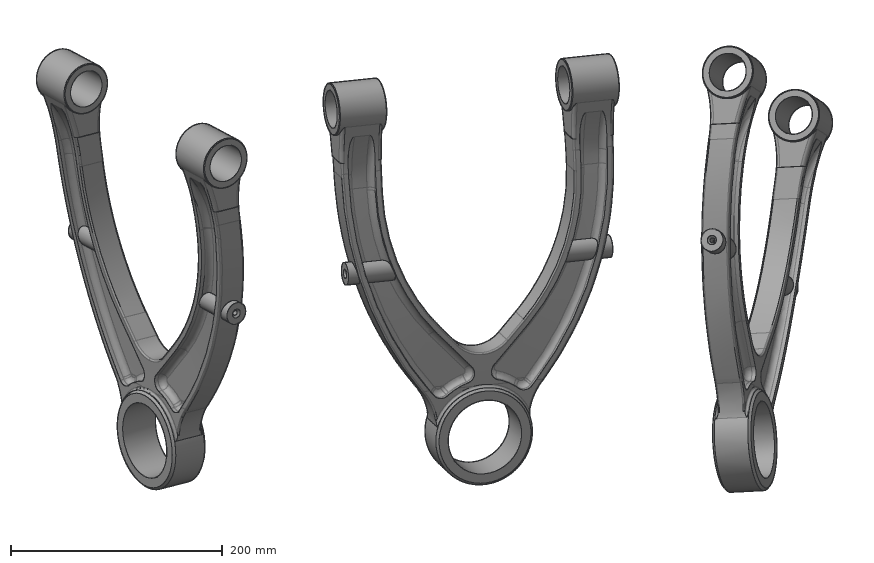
import cadquery as cq
import math

ring_radius = 48.0
ring_bore_radius = 36.5
ring_half_width = 19.0
ring_edge_chamfer = 2.5
ring_blend_fillet = 2.5

eye_radius = 25.05
eye_bore_radius = 18.0
eye_width = 47.5
eye_outer_x = 139.35
eye_inner_x = eye_outer_x - eye_width
eye_y = -22.25
eye_top_z = 353.0
eye_z = eye_top_z - eye_radius
eye_edge_chamfer = 1.0

arm_outer_x = 135.0
outer_bend_z = 264.5
outer_bend_radius = 349.0
outer_bend_angle = math.radians(39)
arm_inner_x = 95.5
inner_bend_z = 248.5
inner_bend_radius = 202.5
inner_bend_angle = math.radians(43)
saddle_z = 81.8
ring_blend_x = 46.0
ring_blend_z = 10.0

arm_half_thickness = 13.2
side_bend_z = 49.7
side_bend_radius = 1523.5
ramp_z = 250.5
back_flare_z = 268.5
front_flare_angle = 212
back_flare_angle = -28
face_edge_fillet = 1.5

neck_z = 279.0
neck_outer_x = 136.5
neck_inner_x = 94.5
neck_edge_fillet = 3.5

rim_width = 6.5
web_half_thickness = 3.2
pocket_ring_gap = 7.5
pocket_corner_radius = 9.2
pocket_floor_fillet = 6.0
pocket_top_z = 308.5
front_ramp_end_y = -41.7
back_ramp_end_y = -1.0

boss_radius = 11.0
boss_z = 169.0
boss_outer_x = 131.5
boss_inner_x = 84.2
boss_hole_radius = 2.5
boss_hole_depth = 12.0
boss_hole_chamfer = 2.0

reach = 160.5
clearance = 0.05


def on_bend(start_x, start_z, radius, turn):
    """Point on a bend that starts at (start_x, start_z) heading down and turns towards X = 0."""
    return (
        start_x - radius * (1 - math.cos(turn)),
        start_z - radius * math.sin(turn),
    )


def side_shift(z):
    """How far the arm's middle surface lies in front of Y = 0 at a height within the side bend."""
    return side_bend_radius - math.sqrt(side_bend_radius**2 - (z - side_bend_z) ** 2)


def side_curve(offset, top_z):
    """Open YZ curve along the straight foot and the side bend, offset in Y from the middle surface."""
    return (
        cq.Workplane("YZ")
        .moveTo(offset, -ring_radius)
        .lineTo(offset, side_bend_z)
        .tangentArcPoint((offset - side_shift(top_z), top_z), relative=False)
    )


def region_beside(curve, side):
    """Solid between a finished YZ curve and the far end of the given side (-1 front, 1 back)."""
    outline = curve.lineTo(eye_y, eye_z).lineTo(side * reach, eye_z).lineTo(side * reach, -ring_radius)
    return outline.close().extrude(reach)


def eye_point(degrees):
    """YZ point on the outside of the eye, measured from +Y towards +Z."""
    angle = math.radians(degrees)
    return (eye_y + eye_radius * math.cos(angle), eye_z + eye_radius * math.sin(angle))


def side_profile_cutters():
    """Everything in front of the arm's front face and behind its back face."""
    front = side_curve(-arm_half_thickness, ramp_z)
    front = front.tangentArcPoint(eye_point(front_flare_angle), relative=False)
    back = side_curve(arm_half_thickness, back_flare_z)
    back = back.tangentArcPoint(eye_point(back_flare_angle), relative=False)
    return region_beside(front, -1).union(region_beside(back, 1))


def arm_plan():
    """Right-hand outline from the ring to the neck, as a prism along Y."""
    bend_outer = on_bend(arm_outer_x, outer_bend_z, outer_bend_radius, outer_bend_angle)
    mid_outer = on_bend(arm_outer_x, outer_bend_z, outer_bend_radius, outer_bend_angle / 2)
    bend_inner = on_bend(arm_inner_x, inner_bend_z, inner_bend_radius, inner_bend_angle)
    mid_inner = on_bend(arm_inner_x, inner_bend_z, inner_bend_radius, inner_bend_angle / 2)

    cos_in = math.cos(inner_bend_angle)
    sin_in = math.sin(inner_bend_angle)
    edge_offset = cos_in * bend_inner[0] - sin_in * bend_inner[1]
    saddle_radius = (edge_offset + sin_in * saddle_z) / (1 - sin_in)
    saddle_start = (saddle_radius * cos_in, saddle_z + saddle_radius * (1 - sin_in))
    return (
        cq.Workplane("XZ")
        .moveTo(0, 0)
        .lineTo(ring_blend_x, 0)
        .lineTo(ring_blend_x, ring_blend_z)
        .tangentArcPoint(bend_outer, relative=False)
        .threePointArc(mid_outer, (arm_outer_x, outer_bend_z))
        .lineTo(arm_outer_x, neck_z)
        .lineTo(arm_inner_x, neck_z)
        .lineTo(arm_inner_x, inner_bend_z)
        .threePointArc(mid_inner, bend_inner)
        .lineTo(*saddle_start)
        .tangentArcPoint((0, saddle_z), relative=False)
        .close()
        .extrude(reach / 2, both=True)
    )


def arm_body():
    """Right-hand arm up to the neck, with the edges of both faces rounded."""
    body = arm_plan().cut(side_profile_cutters())
    free_edges = cq.selectors.BoxSelector((clearance, -reach, 0), (reach, reach, neck_z - clearance))
    return body.edges("not(|X or |Y)").edges(free_edges).fillet(face_edge_fillet)


def neck():
    """Block between the arm and its eye, with the same front and back faces as the arm."""
    width = neck_outer_x - neck_inner_x
    block = (
        cq.Workplane("XY")
        .workplane(offset=neck_z)
        .center((neck_outer_x + neck_inner_x) / 2, 0)
        .rect(width, reach)
        .extrude(eye_z - neck_z)
    )
    return block.cut(side_profile_cutters()).edges("not(|X or |Y or |Z)").fillet(neck_edge_fillet)


def pocket(side):
    """Right-hand pocket in the front (side = -1) or back (side = 1) face, open outwards."""
    ramp_end_y = front_ramp_end_y if side < 0 else back_ramp_end_y
    floor = side_curve(side * web_half_thickness, ramp_z).tangentArcPoint(
        (ramp_end_y, pocket_top_z), relative=False
    )
    space = floor.lineTo(side * reach, pocket_top_z).lineTo(side * reach, -ring_radius)
    space = space.close().extrude(reach)

    outer_x = arm_outer_x - rim_width
    outer_radius = outer_bend_radius - rim_width
    inner_x = arm_inner_x + rim_width
    inner_radius = inner_bend_radius + rim_width
    bend_inner = on_bend(inner_x, inner_bend_z, inner_radius, inner_bend_angle)
    line_end_z = bend_inner[1] - (bend_inner[0] + ring_radius / 2) / math.tan(inner_bend_angle)
    outline = (
        cq.Workplane("XZ")
        .moveTo(outer_x, eye_z)
        .lineTo(outer_x, outer_bend_z)
        .threePointArc(
            on_bend(outer_x, outer_bend_z, outer_radius, inner_bend_angle / 2),
            on_bend(outer_x, outer_bend_z, outer_radius, inner_bend_angle),
        )
        .lineTo(-ring_radius / 2, line_end_z)
        .lineTo(*bend_inner)
        .threePointArc(
            on_bend(inner_x, inner_bend_z, inner_radius, inner_bend_angle / 2),
            (inner_x, inner_bend_z),
        )
        .lineTo(inner_x, eye_z)
        .close()
        .extrude(reach, both=True)
    )
    ring_clearance = cq.Workplane("XZ").circle(ring_radius + pocket_ring_gap).extrude(reach, both=True)
    lower_corners = cq.selectors.BoxSelector((-reach, -reach, 0), (reach, reach, saddle_z))
    outline = outline.cut(ring_clearance).edges("|Y").edges(lower_corners).fillet(pocket_corner_radius)
    cutter = outline.intersect(space)
    inside = reach - clearance
    floor_edges = cq.selectors.BoxSelector((0, -inside, 0), (inside, inside, pocket_top_z - clearance))
    return cutter.edges("not(|X or |Y)").edges(floor_edges).fillet(pocket_floor_fillet)


def bushing_eye():
    eye = (
        cq.Workplane("YZ", origin=(eye_inner_x, eye_y, eye_z))
        .circle(eye_radius)
        .extrude(eye_width)
    )
    return eye.edges().chamfer(eye_edge_chamfer)


def cross_boss():
    """Pin across the arm, standing out of its outer side and showing in both pockets."""
    return (
        cq.Workplane("YZ", origin=(boss_inner_x, -side_shift(boss_z), boss_z))
        .circle(boss_radius)
        .extrude(boss_outer_x - boss_inner_x)
    )


def boss_hole():
    """Small countersunk blind hole in the outer end of the boss."""
    start = (boss_outer_x, -side_shift(boss_z), boss_z)
    hole = cq.Workplane("YZ", origin=start).circle(boss_hole_radius).extrude(-boss_hole_depth)
    mouth = cq.Solid.makeCone(
        boss_hole_radius + boss_hole_chamfer,
        boss_hole_radius,
        boss_hole_chamfer,
        pnt=cq.Vector(*start),
        dir=cq.Vector(-1, 0, 0),
    )
    return hole.union(mouth)


def eye_bore():
    start = cq.Workplane("YZ", origin=(eye_inner_x, eye_y, eye_z))
    return start.circle(eye_bore_radius).extrude(eye_width)


def right_arm():
    arm = arm_body().union(neck()).cut(pocket(-1)).cut(pocket(1))
    arm = arm.union(cross_boss()).union(bushing_eye())
    return arm.cut(eye_bore()).cut(boss_hole())


def ring():
    return (
        cq.Workplane("XZ", origin=(0, ring_half_width, 0))
        .circle(ring_radius)
        .extrude(2 * ring_half_width)
        .edges()
        .chamfer(ring_edge_chamfer)
    )


def ring_blend():
    """Concave blend between the ring's outside and both faces of the arms."""
    blend_y = arm_half_thickness + ring_blend_fillet
    arc_offset = ring_blend_fillet * (1 - math.sqrt(0.5))
    collar = (
        cq.Workplane("XY")
        .moveTo(ring_bore_radius, 0)
        .lineTo(ring_radius + ring_blend_fillet, 0)
        .lineTo(ring_radius + ring_blend_fillet, arm_half_thickness)
        .threePointArc((ring_radius + arc_offset, arm_half_thickness + arc_offset), (ring_radius, blend_y))
        .lineTo(ring_bore_radius, blend_y)
        .close()
        .revolve(360, (0, 0, 0), (0, 1, 0))
    )
    collar = collar.union(collar.mirror("XZ"))
    return collar.intersect(arm_plan())


def ring_bore():
    return cq.Workplane("XZ", origin=(0, reach, 0)).circle(ring_bore_radius).extrude(2 * reach)


arm = right_arm().union(ring_blend())
result = arm.union(arm.mirror("YZ")).union(ring()).cut(ring_bore())